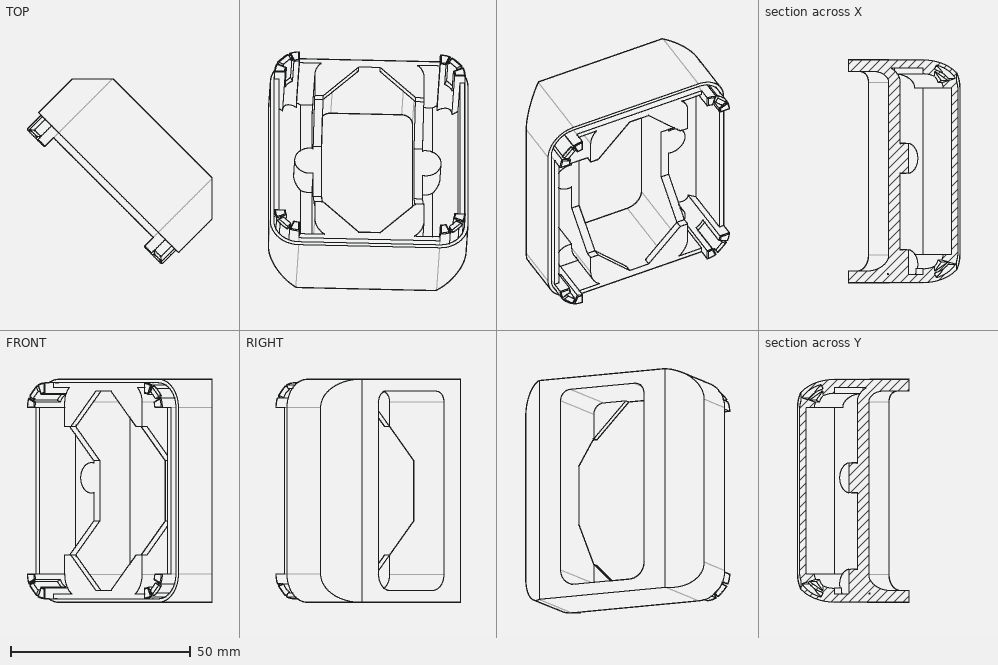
import cadquery as cq
import math

heading = -45.0

width = 55.2
height = 62.2
depth = 21.4
corner_radius = 7.95
back_chamfer = 8.15
wall = 2.35

lip_setback = 1.0
lip_length = 2.0

tunnel_half_width = 12.9
tunnel_half_height = 27.75
tunnel_top_radius = 3.0
tunnel_bottom_radius = 4.4
window_half_height = 17.85
wall_notch_depth = 9.45

boss_radius = 4.2
boss_offset = 0.95
boss_heights = (3.6, -26.0)

prong_thickness = 3.0
prong_length = 5.6
tip_chamfer = 0.25
tip_gap = 0.9
groove_length = 9.95
groove_half_angle = 21.5
groove_floor_inner = 5.0
groove_floor_outer = 5.8
hook_half_angle = 16.0
hook_face = 6.35
hook_peak = 6.9
hook_foot = 5.55
hook_nose = 0.55
hook_ramp = 0.95
hook_root = 0.6

half_width = width / 2
half_height = height / 2
prong_outer_radius = corner_radius - lip_setback
prong_inner_radius = prong_outer_radius - prong_thickness
corner_x = half_width - corner_radius
corner_z = half_height - corner_radius


def front_plane(y):
    """XZ plane at depth y whose extrusions run towards the back (+Y)."""
    return cq.Workplane(cq.Plane(origin=(0, y, 0), xDir=(-1, 0, 0), normal=(0, 1, 0)))


def rounded_block(inset, y_start, y_end):
    """Block with rounded corners, inset from the outer surface."""
    block = front_plane(y_start).rect(width - 2 * inset, height - 2 * inset).extrude(y_end - y_start)
    return block.edges("|Y").fillet(corner_radius - inset)


def depth_limits(inset):
    """Tall prism with the chamfered back, inset from the outer surface."""
    corner_shift = inset * math.tan(math.radians(22.5))
    side = half_width - inset
    back = depth - inset
    side_end = depth - back_chamfer - corner_shift
    back_half = half_width - back_chamfer - corner_shift
    front = -2 * prong_length
    outline = [
        (-side, front),
        (side, front),
        (side, side_end),
        (back_half, back),
        (-back_half, back),
        (-side, side_end),
    ]
    return cq.Workplane("XY").polyline(outline).close().extrude(height, both=True)


def tunnel_block(offset, y_start, y_end):
    """Rounded tunnel section, grown outwards by an offset."""
    size_x = 2 * (tunnel_half_width + offset)
    size_z = 2 * (tunnel_half_height + offset)
    block = front_plane(y_start).rect(size_x, size_z).extrude(y_end - y_start)
    block = block.edges("|Y and >Z").fillet(tunnel_top_radius + offset)
    return block.edges("|Y and <Z").fillet(tunnel_bottom_radius + offset)


def make_shell():
    body = rounded_block(0, 0, depth).union(rounded_block(lip_setback, -lip_length, wall))
    cavity = rounded_block(wall, -lip_length, depth).intersect(depth_limits(wall))
    shell = body.cut(cavity)
    for sx in (-1, 1):
        for sz in (-1, 1):
            corner = cq.Workplane("XY").box(corner_radius, lip_length, corner_radius)
            x = sx * (corner_x + corner_radius / 2)
            z = sz * (corner_z + corner_radius / 2)
            shell = shell.cut(corner.translate((x, -lip_length / 2, z)))
    return shell


def make_tunnel():
    """Tunnel tube with a windowed front plate and notched side walls."""
    wall_outer = tunnel_half_width + wall
    tube = tunnel_block(wall, -lip_length, depth).cut(tunnel_block(0, 0, depth))

    narrow = tunnel_half_width - (tunnel_half_height - window_half_height)
    window = [
        (-narrow, tunnel_half_height),
        (narrow, tunnel_half_height),
        (tunnel_half_width, window_half_height),
        (tunnel_half_width, -window_half_height),
        (narrow, -tunnel_half_height),
        (-narrow, -tunnel_half_height),
        (-tunnel_half_width, -window_half_height),
        (-tunnel_half_width, window_half_height),
    ]
    tube = tube.cut(front_plane(-lip_length).polyline(window).close().extrude(lip_length))

    notch_end = window_half_height - wall_notch_depth
    notch = [
        (-lip_length, -window_half_height),
        (0, -window_half_height),
        (wall_notch_depth, -notch_end),
        (wall_notch_depth, notch_end),
        (0, window_half_height),
        (-lip_length, window_half_height),
    ]
    return tube.cut(cq.Workplane("YZ").polyline(notch).close().extrude(wall_outer, both=True))


def make_bosses():
    """Round bosses half sunk in the tunnel walls, reaching to the back wall."""
    length = depth - wall / 2 - wall_notch_depth
    boss_x = tunnel_half_width + wall + boss_offset
    centres = [(sx * boss_x, z) for sx in (-1, 1) for z in boss_heights]
    bosses = front_plane(wall_notch_depth).pushPoints(centres).circle(boss_radius).extrude(length)
    return bosses.intersect(rounded_block(wall / 2, 0, depth))


def sector(inner, outer, half_angle, y_start, y_end):
    """Ring sector about the Y axis, centred on the +X direction."""
    c = math.cos(math.radians(half_angle))
    s = math.sin(math.radians(half_angle))
    return (
        cq.Workplane("XZ", origin=(0, y_start, 0))
        .moveTo(inner * c, -inner * s)
        .lineTo(outer * c, -outer * s)
        .threePointArc((outer, 0), (outer * c, outer * s))
        .lineTo(inner * c, inner * s)
        .threePointArc((inner, 0), (inner * c, -inner * s))
        .close()
        .extrude(y_start - y_end)
    )


def make_outer_groove():
    """Space of the round-floored outer groove, which runs on behind the front rim."""
    tip = -prong_length
    return sector(groove_floor_outer, prong_outer_radius, groove_half_angle, tip, tip + groove_length)


def make_prong():
    """Quarter-ring prong about the Y axis, centred on the +X direction."""
    tip = -prong_length
    hook_end = tip + hook_nose + hook_ramp
    prong = sector(prong_inner_radius, prong_outer_radius, 45, tip, depth)

    half_floor = groove_floor_inner * math.tan(math.radians(groove_half_angle))
    wedge = [(0, 0), (groove_floor_inner, half_floor), (groove_floor_inner, -half_floor)]
    prong = prong.cut(cq.Workplane("XZ", origin=(0, tip, 0)).polyline(wedge).close().extrude(-groove_length))

    prong = prong.cut(make_outer_groove())
    prong = prong.cut(sector(prong_inner_radius, corner_radius, groove_half_angle, tip, tip + tip_gap))
    prong = prong.faces("<Y").chamfer(tip_chamfer)

    hook_profile = [
        (groove_floor_inner, tip),
        (hook_face, tip),
        (hook_peak, tip + hook_nose),
        (hook_foot, hook_end),
        (hook_foot, hook_end + hook_root),
        (groove_floor_inner, hook_end + hook_root),
    ]
    hook = cq.Workplane("XY").polyline(hook_profile).close().extrude(half_floor, both=True)
    hook = hook.intersect(sector(prong_inner_radius, prong_outer_radius, hook_half_angle, tip, 0))
    return prong.union(hook)


def at_corners(feature):
    """Place a feature drawn along +X at all four corners of the shell."""
    upper = feature.rotate((0, 0, 0), (0, 1, 0), -45).translate((corner_x, 0, corner_z))
    right = upper.union(upper.mirror("XY"))
    return right.union(right.mirror("YZ"))


shell = make_shell().union(make_bosses()).union(make_tunnel())
shell = shell.cut(tunnel_block(0, 0, depth))
shell = shell.cut(at_corners(make_outer_groove()))
housing = shell.union(at_corners(make_prong())).intersect(depth_limits(0))
result = housing.rotate((0, 0, 0), (0, 0, 1), heading)